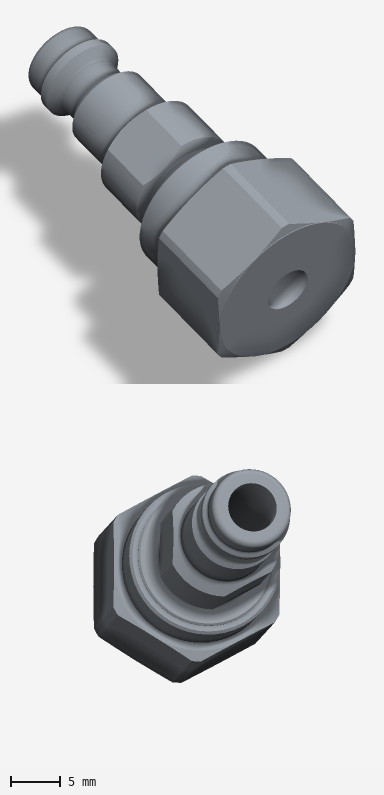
import cadquery as cq
import math

bore_dia = 4.95

nose_dia = 8.1
nose_round = 0.58
nose_end = 2.6
stem_dia = 9.0
latch_rim_end = 4.05
neck_dia = 6.65
neck_round = 1.0
stem_start = 8.35

stem_end = 14.05
shank_dia = 11.7
shank_cone_length = 0.92
shank_end = 20.9
shank_back_chamfer = 0.58
flat_distance = 5.15
flat_count = 3

waist_dia = 9.7
waist_round = 0.45
flange_dia = 13.85
flange_start = 23.5
flange_chamfer = 0.2

collar_dia = 15.5
collar_start = 23.75
collar_front_chamfer = 0.27
collar_back_chamfer_length = 0.27
collar_back_chamfer_depth = 0.1
hex_start = 28.03
hex_across_flats = 17.0
hex_corner_dia = 19.15
hex_chamfer = 0.27
end_disc_height = 0.08
nut_end = 38.5


def cylinder(dia, start, end):
    """Cylinder along X between two stations."""
    return cq.Workplane("YZ", origin=(start, 0, 0)).circle(dia / 2).extrude(end - start)


def revolved(outline):
    """Solid of revolution about X from a closed (station, radius) outline."""
    return outline.close().revolve(360, (0, 0, 0), (1, 0, 0))


def groove_cutter():
    """Ring that cuts the latch groove: 45 degree sides and rounded floor corners."""
    depth = (stem_dia - neck_dia) / 2
    ring = revolved(
        cq.Workplane("XY")
        .moveTo(latch_rim_end, stem_dia / 2)
        .lineTo(latch_rim_end + depth, neck_dia / 2)
        .lineTo(stem_start - depth, neck_dia / 2)
        .lineTo(stem_start, stem_dia / 2)
    )
    floor_edges = cq.selectors.RadiusNthSelector(0)
    return ring.edges("%CIRCLE").edges(floor_edges).fillet(neck_round)


def plug_nose():
    rim_chamfer = (stem_dia - nose_dia) / 2
    nose = cylinder(nose_dia, 0, nose_end).faces("<X").edges().fillet(nose_round)
    stem = cylinder(stem_dia, nose_end, stem_end).faces("<X").edges().chamfer(rim_chamfer)
    return nose.union(stem).cut(groove_cutter())


def plug_shank():
    """Round wrench section, coned at both ends, with equally spaced flats."""
    back_end = shank_end + shank_back_chamfer
    shank = revolved(
        cq.Workplane("XY")
        .moveTo(stem_end, 0)
        .lineTo(stem_end, stem_dia / 2)
        .lineTo(stem_end + shank_cone_length, shank_dia / 2)
        .lineTo(shank_end, shank_dia / 2)
        .lineTo(back_end, waist_dia / 2)
        .lineTo(back_end, 0)
    )
    length = back_end - stem_end
    for i in range(flat_count):
        cutter = cq.Workplane("XY").box(length, shank_dia, shank_dia, centered=(False, False, True))
        cutter = cutter.translate((stem_end, flat_distance, 0))
        shank = shank.cut(cutter.rotate((0, 0, 0), (1, 0, 0), i * 360 / flat_count))
    return shank


def plug_waist_and_flange():
    """Waist flared by a concave round into the flange face."""
    waist_start = shank_end + shank_back_chamfer
    waist_radius = waist_dia / 2
    flare_start = flange_start - waist_round
    sag = waist_round * math.sqrt(0.5)
    return revolved(
        cq.Workplane("XY")
        .moveTo(waist_start, 0)
        .lineTo(waist_start, waist_radius)
        .lineTo(flare_start, waist_radius)
        .threePointArc(
            (flare_start + sag, waist_radius + waist_round - sag),
            (flange_start, waist_radius + waist_round),
        )
        .lineTo(flange_start, flange_dia / 2 - flange_chamfer)
        .lineTo(flange_start + flange_chamfer, flange_dia / 2)
        .lineTo(hex_start, flange_dia / 2)
        .lineTo(hex_start, 0)
    )


def make_plug():
    plug = plug_nose().union(plug_shank()).union(plug_waist_and_flange())
    return plug.cut(cylinder(bore_dia, 0, hex_start))


def nut_hexagon():
    """Hexagon with flats facing Y, its corners turned round and chamfered at both ends."""
    hex_end = nut_end - end_disc_height
    point_dia = hex_across_flats / math.cos(math.pi / 6)
    hexagon = (
        cq.Workplane("YZ", origin=(hex_start, 0, 0))
        .transformed(rotate=(0, 0, 90))
        .polygon(6, point_dia)
        .extrude(hex_end - hex_start)
    )
    end_chamfer = (hex_corner_dia - hex_across_flats) / 2
    turned = cylinder(hex_corner_dia, hex_start, hex_end)
    turned = turned.faces("<X or >X").edges().chamfer(hex_chamfer, end_chamfer)
    return hexagon.intersect(turned)


def make_nut():
    collar = cylinder(collar_dia, collar_start, hex_start)
    collar = collar.faces("<X").edges().chamfer(collar_front_chamfer)
    collar = collar.faces(">X").edges().chamfer(collar_back_chamfer_length, collar_back_chamfer_depth)
    end_disc = cylinder(hex_across_flats, nut_end - end_disc_height, nut_end)
    nut = collar.union(nut_hexagon()).union(end_disc)
    flange_seat = cylinder(flange_dia, collar_start, hex_start)
    return nut.cut(flange_seat).cut(cylinder(bore_dia, hex_start, nut_end))


plug = make_plug()
nut = make_nut()
result = cq.Compound.makeCompound([*plug.solids().vals(), *nut.solids().vals()])